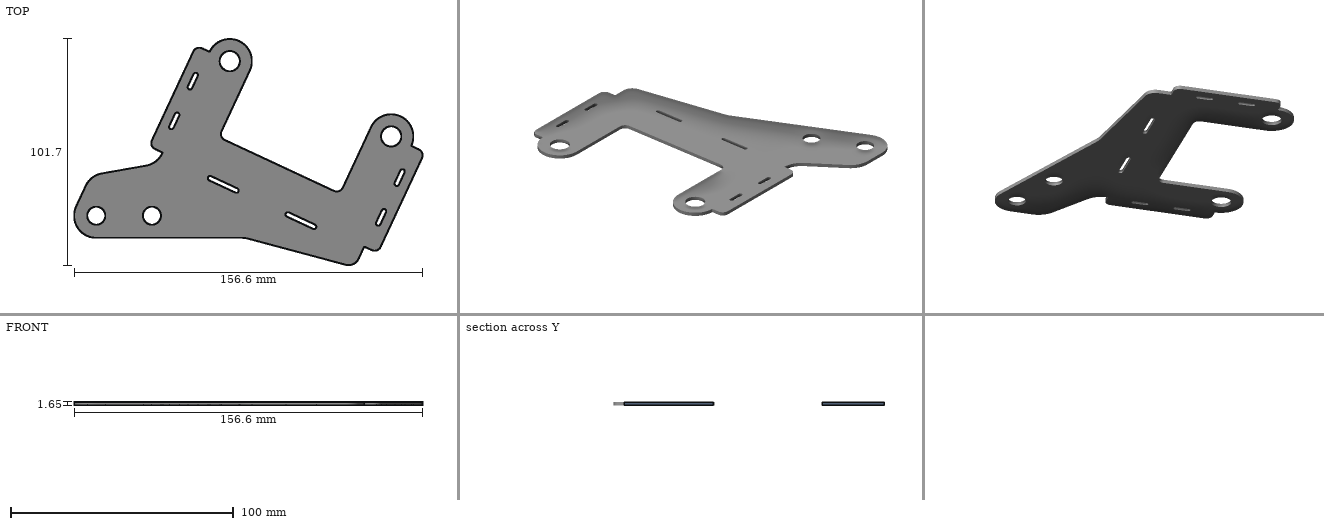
import cadquery as cq
import math


thickness = 1.65
tilt = 25.0

arm_spacing = 80.0
end_radius = 10.0
arm_hole_diameter = 9.0
base_top_v = -33.0
inner_corner_radius = 3.0

flange_width = 6.7
flange_length = 50.0
flange_corner_radius = 3.0

foot_u = -25.0
foot_v = -88.25
foot_hole_diameter = 8.0
foot_hole_spacing = 25.0
shoulder_slope = 10.0
shoulder_neck_v = -55.4
shoulder_radius = 10.0
neck_radius = 10.0

underside_slope = -15.0
underside_end_v = -60.2
underside_end_radius = 5.0
underside_bend_radius = 10.0

slot_width = 2.0
side_slot_length = 8.0
side_slot_spacing = 19.7
side_slot_offset = 1.25
base_slot_length = 15.0
base_slot_spacing = 38.5
base_slot_v = -51.4

left_side_u = -end_radius
right_side_u = arm_spacing + end_radius
foot_side_u = foot_u - end_radius


def direction(angle_from_x):
    """Unit vector, in the tilted frame, of a line at this angle from the part's X axis."""
    angle = math.radians(angle_from_x + tilt)
    return cq.Vector(math.cos(angle), math.sin(angle))


def point_at_u(start, heading, u):
    """Point with the given u on the line through start along heading."""
    return start + heading * ((u - start.x) / heading.x)


def crossing(start, heading, other_start, other_heading):
    """Crossing point of two lines."""
    normal = cq.Vector(-other_heading.y, other_heading.x)
    return start + heading * ((other_start - start).dot(normal) / heading.dot(normal))


def rounded_plate(corners):
    """Plate whose outline is a polygon of (point, corner radius) pairs; radius 0 stays sharp."""
    points = [cq.Vector(point) for point, _ in corners]
    plate = cq.Workplane("XY").polyline([p.toTuple()[:2] for p in points]).close().extrude(thickness)
    for point, (_, radius) in zip(points, corners):
        if radius > 0:
            nearest = cq.selectors.NearestToPointSelector((point.x, point.y, thickness / 2))
            plate = plate.edges("|Z").edges(nearest).fillet(radius)
    return plate


def make_body():
    """Arms, base and foot, with the arms cut square at their hole centres."""
    along_x = direction(0)
    foot_bottom = cq.Vector(foot_u, foot_v) - direction(90) * end_radius
    neck = cq.Vector(left_side_u, shoulder_neck_v)
    underside_end = cq.Vector(right_side_u, underside_end_v)
    shoulder = point_at_u(neck, direction(shoulder_slope), foot_side_u)
    heel = point_at_u(foot_bottom, along_x, foot_side_u)
    bend = crossing(foot_bottom, along_x, underside_end, direction(underside_slope))
    return rounded_plate(
        [
            ((left_side_u, 0), 0),
            (neck, neck_radius),
            (shoulder, shoulder_radius),
            (heel, end_radius),
            (bend, underside_bend_radius),
            (underside_end, underside_end_radius),
            ((right_side_u, 0), 0),
            ((arm_spacing - end_radius, 0), 0),
            ((arm_spacing - end_radius, base_top_v), inner_corner_radius),
            ((end_radius, base_top_v), inner_corner_radius),
            ((end_radius, 0), 0),
        ]
    )


def make_flange(side_u, outward):
    """Strip along an arm's outer side; outward is -1 for the left arm and 1 for the right."""
    outer_u = side_u + outward * flange_width
    inner_u = side_u - outward * end_radius
    return rounded_plate(
        [
            ((inner_u, 0), 0),
            ((outer_u, 0), flange_corner_radius),
            ((outer_u, -flange_length), flange_corner_radius),
            ((inner_u, -flange_length), 0),
        ]
    )


def discs(centres, diameter):
    """Round plugs as thick as the plate."""
    return cq.Workplane("XY").pushPoints(centres).circle(diameter / 2).extrude(thickness)


def slots(centres, length, angle):
    """Round-ended slot plugs as thick as the plate."""
    return cq.Workplane("XY").pushPoints(centres).slot2D(length, slot_width, angle).extrude(thickness)


arm_centres = [(0, 0), (arm_spacing, 0)]
foot_step = direction(0) * foot_hole_spacing
foot_centres = [(foot_u, foot_v), (foot_u + foot_step.x, foot_v + foot_step.y)]

side_slot_centres = [
    (u, -flange_length / 2 + end * side_slot_spacing / 2)
    for u in (left_side_u - side_slot_offset, right_side_u + side_slot_offset)
    for end in (-1, 1)
]
base_slot_centres = [
    (arm_spacing / 2 + end * base_slot_spacing / 2, base_slot_v) for end in (-1, 1)
]

plate = (
    make_body()
    .union(make_flange(left_side_u, -1))
    .union(make_flange(right_side_u, 1))
    .union(discs(arm_centres, 2 * end_radius))
    .cut(discs(arm_centres, arm_hole_diameter))
    .cut(discs(foot_centres, foot_hole_diameter))
    .cut(slots(side_slot_centres, side_slot_length, 90))
    .cut(slots(base_slot_centres, base_slot_length, 0))
)

result = plate.translate((-foot_u, -foot_v, 0)).rotate((0, 0, 0), (0, 0, 1), -tilt)